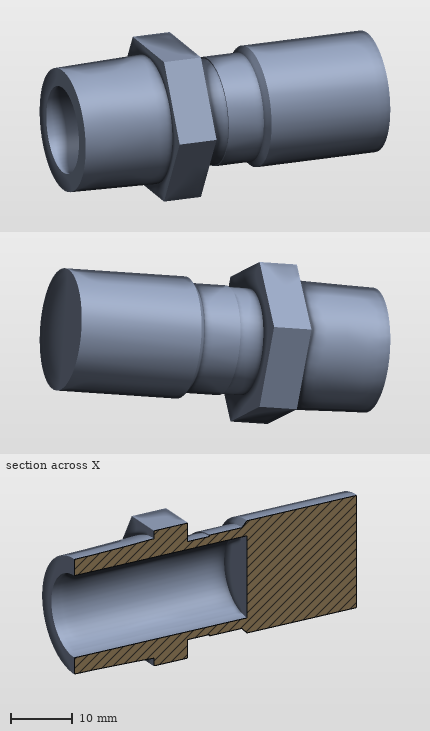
import cadquery as cq
import math

total_length = 53.5
thread_length = 15.05
hex_length = 6.5
neck_length = 4.05
collar_length = 6.15
chamfer_length = 0.95

hex_across_flats = 24.0
thread_end_diameter = 20.45
thread_base_diameter = 21.3
neck_diameter = 17.5
collar_diameter = 18.0
tail_diameter = 20.0
bore_diameter = 14.5

front_y = -total_length / 2
hex_start_y = front_y + thread_length
hex_end_y = hex_start_y + hex_length
collar_start_y = hex_end_y + neck_length
chamfer_start_y = collar_start_y + collar_length
tail_start_y = chamfer_start_y + chamfer_length
back_y = front_y + total_length

bore_depth = tail_start_y - front_y


def turned_body():
    """Revolve the tapered thread, neck, collar and tail about the Y axis."""
    profile = [
        (0, front_y),
        (thread_end_diameter / 2, front_y),
        (thread_base_diameter / 2, hex_start_y),
        (neck_diameter / 2, hex_start_y),
        (neck_diameter / 2, collar_start_y),
        (collar_diameter / 2, collar_start_y),
        (collar_diameter / 2, chamfer_start_y),
        (tail_diameter / 2, tail_start_y),
        (tail_diameter / 2, back_y),
        (0, back_y),
    ]
    return cq.Workplane("XY").polyline(profile).close().revolve(360, (0, 0), (0, 1))


def along_y(start_y):
    """Return a workplane at start_y whose extrusions run toward +Y."""
    return cq.Workplane(cq.Plane((0, start_y, 0), xDir=(1, 0, 0), normal=(0, 1, 0)))


def hexagon():
    """Make the wrench hexagon, with corners pointing along X."""
    across_corners = hex_across_flats / math.cos(math.radians(30))
    return along_y(hex_start_y).polygon(6, across_corners).extrude(hex_length)


def bore():
    """Make the blind bore that opens at the threaded end."""
    return along_y(front_y).circle(bore_diameter / 2).extrude(bore_depth)


result = turned_body().union(hexagon()).cut(bore())